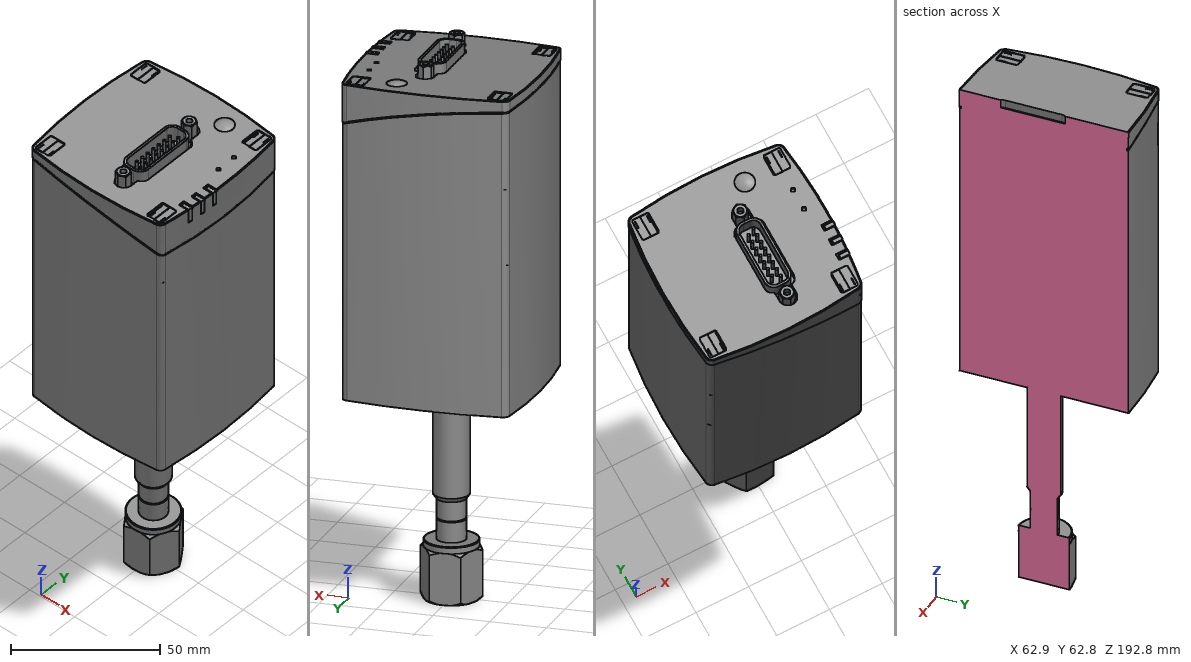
import cadquery as cq
import math

TOTAL_HEIGHT = 192.8
POST_HEIGHT = 4.4
CAP_TOP = TOTAL_HEIGHT - POST_HEIGHT
BODY_BOTTOM = 76.3

CAP_WIDTH = 62.79
BODY_WIDTH = 62.55
SIDE_RADIUS = 200.0
CORNER_RADIUS = 2.5
SEAM_DROP_LEFT = 3.7
SEAM_DROP_MIDDLE = 6.8
SEAM_DROP_RIGHT = 14.4
SEAM_GAP = 0.5
SEAM_DEPTH = 0.5
CAP_CHAMFER_DROP = 0.15
CAP_CHAMFER_INSET = 0.4

STEM_DIAMETER = 12.6
STEM_SHOULDER = 36.9
NECK_DIAMETER = 10.2
NECK_TOP = 35.2
NECK_GROOVE_DIAMETER = 9.9
NECK_GROOVE_TOP = 28.4
NECK_GROOVE_WIDTH = 0.4

NUT_FLATS = 18.75
NUT_COLLAR_TOP = 20.8
NUT_HEX_TOP = 18.4
NUT_TURN = 4.5
NUT_CHAMFER_DIAMETER = 19.0
NUT_CHAMFER_HEIGHT = 1.1
NUT_COLLAR_CHAMFER = 0.3

CONNECTOR_X = 4.9
CONNECTOR_Y = -4.1
SHELL_WIDTH = 9.6
SHELL_LENGTH = 26.2
SHELL_WALL = 0.9
SHELL_CORNER = 3.5
SHELL_HEIGHT = 3.3
CONNECTOR_DEPTH = 3.0
OPENING_SHIFT = 0.3
OPENING_WIDTH = 11.0
OPENING_LENGTH = 26.9
OPENING_CORNER = 3.0
PIN_DIAMETER = 1.0
PIN_PITCH = 2.77
PIN_ROW_SPACING = 2.6
PIN_TIP_BELOW_RIM = 1.0
LONG_ROW_PINS = 8
SHORT_ROW_PINS = 7

POST_SPACING = 33.3
POST_FLATS = 4.75
POST_TURN = 30.0
POST_TOP_DIAMETER = 4.5
POST_HOLE_DIAMETER = 2.16
POST_HOLE_DEPTH = 3.0
POST_OPENING_DIAMETER = 6.4

BUTTON_X = 11.9
BUTTON_Y = 22.5
BUTTON_DIAMETER = 7.0
BUTTON_HEIGHT = 1.0
BUTTON_ROOT = 0.5
PINHOLE_X = 24.9
PINHOLE_YS = (12.5, 4.7)
PINHOLE_DIAMETER = 1.5
PINHOLE_DEPTH = 1.0

WINDOW_FIRST_Y = -4.35
WINDOW_PITCH = 5.8
WINDOW_COUNT = 3
WINDOW_WIDTH = 2.3
WINDOW_LENGTH = 4.1
WINDOW_HEIGHT = 5.8
WINDOW_INNER_GAP = 0.7
WINDOW_BACK_GAP = 0.5
WINDOW_FRONT_GAP = 0.15
WINDOW_GAP_DEPTH = 0.4
WINDOW_PROUD = 0.1

PAD_CENTER_X = 24.95
PAD_CENTER_Y = 24.05
PAD_WIDTH = 6.35
PAD_LENGTH = 8.1
PAD_CORNER = 0.6
PAD_INNER_DEPTH = 0.5
PAD_OUTER_DEPTH = 0.25
PAD_GROOVE_WIDTH = 0.4
SLIT_SPACING = 4.6
SLIT_WIDTH = 0.15
SLIT_LENGTH = 2.4
SLIT_OFFSET = 2.0
SLIT_DEPTH = 0.8


def bulged_square(width, bottom, top):
    """Square prism whose four sides are shallow arcs and whose corners are rounded."""
    half = width / 2
    inset = SIDE_RADIUS - half
    corner = (math.sqrt(2 * SIDE_RADIUS**2 - inset**2) - inset) / 2
    return (
        cq.Workplane("XY", origin=(0, 0, bottom))
        .moveTo(-corner, -corner)
        .threePointArc((0, -half), (corner, -corner))
        .threePointArc((half, 0), (corner, corner))
        .threePointArc((0, half), (-corner, corner))
        .threePointArc((-half, 0), (-corner, -corner))
        .close()
        .extrude(top - bottom)
        .edges("|Z")
        .fillet(CORNER_RADIUS)
    )


def above_seam(lowering):
    """Block above the curved seam, which runs straight through along Y."""
    half = CAP_WIDTH / 2
    seam = CAP_TOP - lowering
    return (
        cq.Workplane("XZ")
        .moveTo(-half, seam - SEAM_DROP_LEFT)
        .threePointArc((0, seam - SEAM_DROP_MIDDLE), (half, seam - SEAM_DROP_RIGHT))
        .lineTo(half, CAP_TOP)
        .lineTo(-half, CAP_TOP)
        .close()
        .extrude(half, both=True)
    )


def housing():
    body = bulged_square(BODY_WIDTH, BODY_BOTTOM, CAP_TOP)
    cap = bulged_square(CAP_WIDTH, BODY_BOTTOM, CAP_TOP).intersect(above_seam(0))
    cap = cap.faces(">Z").chamfer(CAP_CHAMFER_DROP, CAP_CHAMFER_INSET)
    core = bulged_square(BODY_WIDTH - 2 * SEAM_DEPTH, BODY_BOTTOM, CAP_TOP)
    seam_band = above_seam(SEAM_GAP).cut(above_seam(0)).cut(core)
    return body.cut(above_seam(0)).cut(seam_band).union(cap)


def stem():
    stem_radius = STEM_DIAMETER / 2
    neck_radius = NECK_DIAMETER / 2
    groove_radius = NECK_GROOVE_DIAMETER / 2
    groove_bottom = NECK_GROOVE_TOP - NECK_GROOVE_WIDTH
    return (
        cq.Workplane("XZ")
        .moveTo(0, NUT_HEX_TOP)
        .lineTo(neck_radius, NUT_HEX_TOP)
        .lineTo(neck_radius, groove_bottom)
        .lineTo(groove_radius, groove_bottom)
        .lineTo(groove_radius, NECK_GROOVE_TOP)
        .lineTo(neck_radius, NECK_GROOVE_TOP)
        .lineTo(neck_radius, NECK_TOP)
        .lineTo(stem_radius, STEM_SHOULDER)
        .lineTo(stem_radius, BODY_BOTTOM)
        .lineTo(0, BODY_BOTTOM)
        .close()
        .revolve(360, (0, 0, 0), (0, 1, 0))
    )


def hexagon(flats, height):
    return cq.Workplane("XY").polygon(6, flats / math.cos(math.pi / 6)).extrude(height)


def coupling_nut():
    """Hexagon with the corners of both ends bevelled, under a round collar."""
    rim = NUT_CHAMFER_DIAMETER / 2
    corner = NUT_FLATS / 2 / math.cos(math.pi / 6)
    envelope = (
        cq.Workplane("XZ")
        .moveTo(0, 0)
        .lineTo(rim, 0)
        .lineTo(corner, NUT_CHAMFER_HEIGHT)
        .lineTo(corner, NUT_HEX_TOP - NUT_CHAMFER_HEIGHT)
        .lineTo(rim, NUT_HEX_TOP)
        .lineTo(0, NUT_HEX_TOP)
        .close()
        .revolve(360, (0, 0, 0), (0, 1, 0))
    )
    collar = (
        cq.Workplane("XY", origin=(0, 0, NUT_HEX_TOP))
        .circle(rim)
        .extrude(NUT_COLLAR_TOP - NUT_HEX_TOP)
        .faces(">Z")
        .chamfer(NUT_COLLAR_CHAMFER)
    )
    hex_part = hexagon(NUT_FLATS, NUT_HEX_TOP).rotate((0, 0, 0), (0, 0, 1), NUT_TURN)
    return hex_part.intersect(envelope).union(collar)


def rounded_block(center_x, center_y, size, corner, bottom, top):
    return (
        cq.Workplane("XY", origin=(center_x, center_y, bottom))
        .rect(*size)
        .extrude(top - bottom)
        .edges("|Z")
        .fillet(corner)
    )


def connector_opening(floor):
    """Recess in the cap around the shell, with a rounded lobe at each jack post."""
    center_x = CONNECTOR_X + OPENING_SHIFT
    size = (OPENING_WIDTH, OPENING_LENGTH)
    main = rounded_block(center_x, CONNECTOR_Y, size, OPENING_CORNER, floor, CAP_TOP)
    lobes = (
        cq.Workplane("XY", origin=(center_x, CONNECTOR_Y, floor))
        .slot2D(POST_SPACING + POST_OPENING_DIAMETER, POST_OPENING_DIAMETER, 90)
        .extrude(CAP_TOP - floor)
    )
    return main.union(lobes)


def connector_shell(floor):
    rim = CAP_TOP + SHELL_HEIGHT
    outer_size = (SHELL_WIDTH, SHELL_LENGTH)
    inner_size = (SHELL_WIDTH - 2 * SHELL_WALL, SHELL_LENGTH - 2 * SHELL_WALL)
    outer = rounded_block(CONNECTOR_X, CONNECTOR_Y, outer_size, SHELL_CORNER, floor, rim)
    inner_corner = SHELL_CORNER - SHELL_WALL
    return outer.cut(rounded_block(CONNECTOR_X, CONNECTOR_Y, inner_size, inner_corner, floor, rim))


def connector_pins(floor):
    tip = CAP_TOP + SHELL_HEIGHT - PIN_TIP_BELOW_RIM
    pins = cq.Workplane("XY", origin=(CONNECTOR_X, CONNECTOR_Y, floor))
    places = []
    for side, count in ((1, LONG_ROW_PINS), (-1, SHORT_ROW_PINS)):
        for index in range(count):
            places.append((side * PIN_ROW_SPACING / 2, (index - (count - 1) / 2) * PIN_PITCH))
    return pins.pushPoints(places).circle(PIN_DIAMETER / 2).extrude(tip - floor)


def jack_post(floor):
    """Hexagonal post with a bevelled top and a blind hole ending in a drill point."""
    height = TOTAL_HEIGHT - floor
    corner_radius = POST_FLATS / 2 / math.cos(math.pi / 6)
    bevel = corner_radius - POST_TOP_DIAMETER / 2
    envelope = cq.Workplane("XY").circle(corner_radius).extrude(height).faces(">Z").chamfer(bevel)
    hole_radius = POST_HOLE_DIAMETER / 2
    hole = (
        cq.Workplane("XZ")
        .moveTo(0, height)
        .lineTo(hole_radius, height)
        .lineTo(hole_radius, height - POST_HOLE_DEPTH)
        .lineTo(0, height - POST_HOLE_DEPTH - hole_radius)
        .close()
        .revolve(360, (0, 0, 0), (0, 1, 0))
    )
    post = hexagon(POST_FLATS, height).rotate((0, 0, 0), (0, 0, 1), POST_TURN)
    return post.intersect(envelope).cut(hole).translate((CONNECTOR_X, CONNECTOR_Y, floor))


def add_connector(part):
    floor = CAP_TOP - CONNECTOR_DEPTH
    part = part.cut(connector_opening(floor))
    part = part.union(connector_shell(floor)).union(connector_pins(floor))
    for side in (1, -1):
        part = part.union(jack_post(floor).translate((0, side * POST_SPACING / 2, 0)))
    return part


def button():
    """Low dome standing on the cap, on a short root sunk into it."""
    radius = BUTTON_DIAMETER / 2
    sphere_radius = (radius**2 + BUTTON_HEIGHT**2) / (2 * BUTTON_HEIGHT)
    half_angle = math.asin(radius / sphere_radius) / 2
    arc_middle_x = sphere_radius * math.sin(half_angle)
    arc_middle_z = BUTTON_HEIGHT - sphere_radius * (1 - math.cos(half_angle))
    return (
        cq.Workplane("XZ")
        .moveTo(0, -BUTTON_ROOT)
        .lineTo(radius, -BUTTON_ROOT)
        .lineTo(radius, 0)
        .threePointArc((arc_middle_x, arc_middle_z), (0, BUTTON_HEIGHT))
        .close()
        .revolve(360, (0, 0, 0), (0, 1, 0))
        .translate((BUTTON_X, BUTTON_Y, CAP_TOP))
    )


def cut_pinholes(part):
    holes = (
        cq.Workplane("XY", origin=(0, 0, CAP_TOP))
        .pushPoints([(PINHOLE_X, y) for y in PINHOLE_YS])
        .circle(PINHOLE_DIAMETER / 2)
        .extrude(-PINHOLE_DEPTH)
    )
    return part.cut(holes)


def cap_edge_x(y):
    """X of the cap's +X side at a given y."""
    return CAP_WIDTH / 2 - SIDE_RADIUS + math.sqrt(SIDE_RADIUS**2 - y**2)


def add_windows(part):
    """Light windows that wrap over the +X edge, each beside a narrow gap."""
    bottom = CAP_TOP - WINDOW_HEIGHT
    proud_outline = bulged_square(CAP_WIDTH + 2 * WINDOW_PROUD, bottom, CAP_TOP)
    for index in range(WINDOW_COUNT):
        y = WINDOW_FIRST_Y - index * WINDOW_PITCH
        inner_x = cap_edge_x(y) - WINDOW_LENGTH
        pane_width = WINDOW_WIDTH - WINDOW_BACK_GAP - WINDOW_FRONT_GAP
        pane_y = y + (WINDOW_FRONT_GAP - WINDOW_BACK_GAP) / 2
        pane = (
            cq.Workplane("XY", origin=(inner_x + WINDOW_INNER_GAP, pane_y, bottom))
            .box(2 * WINDOW_LENGTH, pane_width, WINDOW_HEIGHT, centered=(False, True, False))
            .intersect(proud_outline)
        )
        recess = cq.Workplane("XY", origin=(inner_x, y, CAP_TOP - WINDOW_GAP_DEPTH)).box(
            2 * WINDOW_LENGTH, WINDOW_WIDTH, WINDOW_GAP_DEPTH, centered=(False, True, False)
        )
        part = part.cut(recess).union(pane)
    return part


def corner_pad():
    """Cutter for the +X +Y corner: a two-level recess, two slits and an inner groove."""
    size = (PAD_WIDTH, PAD_LENGTH)
    shallow = rounded_block(
        PAD_CENTER_X, PAD_CENTER_Y, size, PAD_CORNER, CAP_TOP - PAD_OUTER_DEPTH, CAP_TOP
    )
    deep = rounded_block(
        PAD_CENTER_X, PAD_CENTER_Y, size, PAD_CORNER, CAP_TOP - PAD_INNER_DEPTH, CAP_TOP
    )
    inner_side_x = PAD_CENTER_X - PAD_WIDTH / 2
    inner_half = cq.Workplane("XY", origin=(inner_side_x, PAD_CENTER_Y, CAP_TOP)).box(
        PAD_WIDTH, PAD_LENGTH, 2 * PAD_INNER_DEPTH
    )
    groove = cq.Workplane("XY", origin=(inner_side_x, PAD_CENTER_Y, CAP_TOP - SLIT_DEPTH)).box(
        PAD_GROOVE_WIDTH, PAD_LENGTH - 2 * PAD_CORNER, SLIT_DEPTH, centered=(False, True, False)
    )
    slits = (
        cq.Workplane("XY", origin=(PAD_CENTER_X, PAD_CENTER_Y + SLIT_OFFSET, CAP_TOP))
        .pushPoints([(-SLIT_SPACING / 2, 0), (SLIT_SPACING / 2, 0)])
        .rect(SLIT_WIDTH, SLIT_LENGTH)
        .extrude(-SLIT_DEPTH)
    )
    return shallow.union(deep.intersect(inner_half)).union(groove).union(slits)


def cut_corner_pads(part):
    right_back = corner_pad()
    left_back = right_back.mirror("YZ")
    for cutter in (right_back, left_back):
        part = part.cut(cutter).cut(cutter.mirror("XZ"))
    return part


result = housing().union(stem()).union(coupling_nut())
result = add_connector(result)
result = result.union(button())
result = cut_pinholes(result)
result = add_windows(result)
result = cut_corner_pads(result)